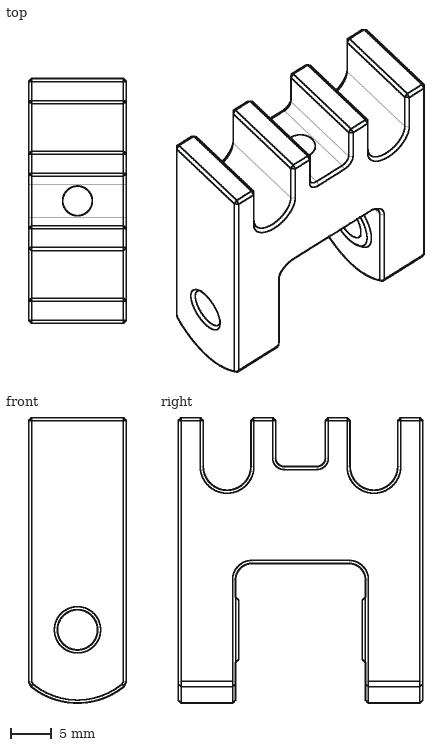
import cadquery as cq
import math

width = 12.0
length = 30.0
height = 35.0
edge_chamfer = 0.4

round_slot_width = 5.8
round_slot_offset = 9.0
round_slot_straight_depth = 6.0

middle_slot_width = 6.05
middle_slot_depth = 6.0
middle_slot_fillet = 1.0
floor_hole_diameter = 3.6

opening_width = 15.9
opening_height = 17.1
opening_fillet = 2.0

pivot_height = 9.0
pivot_hole_diameter = 4.9
boss_base_diameter = 8.0
boss_height = 0.4


def block(size_y, size_z, center_y, bottom_z):
    """Block spanning the full width in X, standing on bottom_z."""
    return (
        cq.Workplane("XY", origin=(0, center_y, bottom_z))
        .box(width, size_y, size_z, centered=(True, True, False))
    )


def side_profile_body():
    """Block with the three top slots and the opening between the legs cut away."""
    body = block(length, height, 0, 0)

    middle_slot = block(middle_slot_width, middle_slot_depth, 0, height - middle_slot_depth)
    body = body.cut(middle_slot.edges("|X and <Z").fillet(middle_slot_fillet))

    opening = block(opening_width, opening_height, 0, 0)
    body = body.cut(opening.edges("|X and >Z").fillet(opening_fillet))

    slot_center_z = height - round_slot_straight_depth
    for center_y in (-round_slot_offset, round_slot_offset):
        straight_part = block(round_slot_width, round_slot_straight_depth, center_y, slot_center_z)
        round_bottom = (
            cq.Workplane("YZ", origin=(-width / 2, center_y, slot_center_z))
            .circle(round_slot_width / 2)
            .extrude(width)
        )
        body = body.cut(straight_part.union(round_bottom))
    return body


def rounded_end_envelope():
    """Outline in XZ with the bottom arc centred on the pivot, extruded over the length."""
    half_width = width / 2
    corner_z = pivot_height - math.sqrt(pivot_height**2 - half_width**2)
    return (
        cq.Workplane("XZ")
        .moveTo(-half_width, height)
        .lineTo(-half_width, corner_z)
        .threePointArc((0, 0), (half_width, corner_z))
        .lineTo(half_width, height)
        .close()
        .extrude(length / 2, both=True)
    )


def pivot_boss():
    """Tapered boss on the inner face of the +Y leg, pointing into the opening."""
    return (
        cq.Workplane("XZ", origin=(0, opening_width / 2, pivot_height))
        .circle(boss_base_diameter / 2)
        .extrude(boss_height, taper=45)
    )


def pivot_hole():
    """Hole along Y through both legs, countersunk at both outer faces."""
    radius = pivot_hole_diameter / 2
    half_length = length / 2
    return (
        cq.Workplane("XY")
        .moveTo(0, -half_length)
        .lineTo(radius + edge_chamfer, -half_length)
        .lineTo(radius, -half_length + edge_chamfer)
        .lineTo(radius, half_length - edge_chamfer)
        .lineTo(radius + edge_chamfer, half_length)
        .lineTo(0, half_length)
        .close()
        .revolve(360, (0, 0), (0, 1))
        .translate((0, 0, pivot_height))
    )


body = side_profile_body().intersect(rounded_end_envelope())
body = body.edges("|Y or |Z or %CIRCLE or >Z").chamfer(edge_chamfer)

boss = pivot_boss()
body = body.union(boss).union(boss.mirror("XZ"))

floor_hole = cq.Workplane("XY").circle(floor_hole_diameter / 2).extrude(height)
result = body.cut(pivot_hole()).cut(floor_hole)